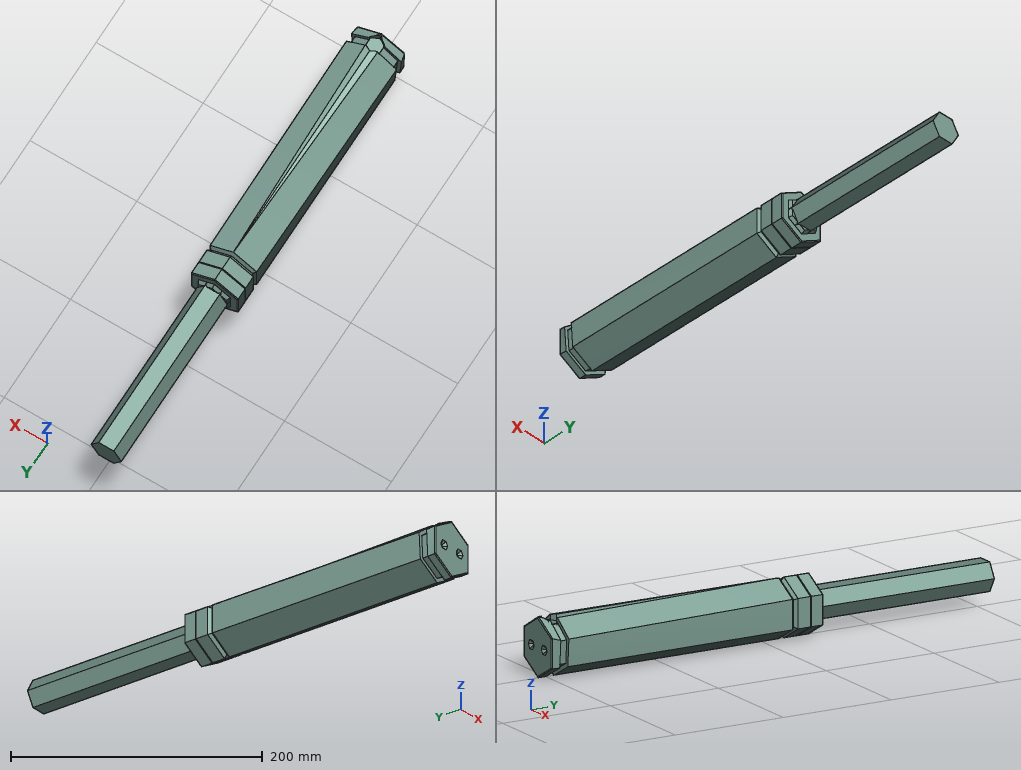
import cadquery as cq
import math

shaft_end_y = 207.5
collar_tip_y = 47.7
cap_rear_y = 44.5
ring_rear_y = 32.8
body_rear_y = 18.3
body_front_y = -192.5
flange_rear_y = -200.0
nose_end_y = -207.5

body_flats = 43.5
shaft_flats = 24.5
collar_base_flats = 30.0
collar_tip_flats = 26.5

end_chamfer = 1.0
joint_chamfer = 0.5
groove_chamfer = 2.5

ridge_z = 25.0
shoulder_x = 6.0
shoulder_z = 23.85
upper_side_x = 23.45
upper_side_z = 10.5
lower_side_x = 21.8
lower_side_z = -13.0
neck_inset = 3.5

button_flats = 13.3
button_y = -197.5
button_top_z = 19.5
button_bottom_z = 13.3

dimple_flats = 7.5
dimple_spacing = 20.0
dimple_depth = 3.7


def corner_radius(flats):
    return flats / math.sqrt(3)


def hexagon(flats, y, first_angle=90.0):
    """Corners of a regular hexagon in the plane at y, starting at first_angle from +X."""
    radius = corner_radius(flats)
    angles = [math.radians(first_angle + 60 * i) for i in range(6)]
    return [cq.Vector(radius * math.cos(a), y, radius * math.sin(a)) for a in angles]


def swollen_section(y):
    """Corners of the swollen section at y, in the same turning sense as hexagon()."""
    left = [
        (-shoulder_x, shoulder_z),
        (-upper_side_x, upper_side_z),
        (-lower_side_x, lower_side_z),
    ]
    bottom = [(0, -corner_radius(body_flats))]
    right = [(-x, z) for x, z in reversed(left)]
    return [cq.Vector(x, y, z) for x, z in [(0, ridge_z)] + left + bottom + right]


def skin(tapered, full):
    """Solid with straight rulings between two outlines.

    Corners repeated in the tapered outline give triangles; all corners at one point give a pyramid.
    """
    faces = []
    for outline in (tapered, full):
        corners = [p for i, p in enumerate(outline) if p != outline[i - 1]]
        if corners:
            faces.append(cq.Face.makeFromWires(cq.Wire.makePolygon(corners, close=True)))
    for i, corner in enumerate(tapered):
        full_edge = cq.Edge.makeLine(full[i - 1], full[i])
        if tapered[i - 1] == corner:
            triangle = cq.Wire.makePolygon([corner, full[i - 1], full[i]], close=True)
            faces.append(cq.Face.makeFromWires(triangle))
        else:
            tapered_edge = cq.Edge.makeLine(tapered[i - 1], corner)
            faces.append(cq.Face.makeRuledSurface(tapered_edge, full_edge))
    return cq.Workplane(cq.Solid.makeSolid(cq.Shell.makeShell(faces)).fix())


def fanned_hexagon(flats, y):
    """Hexagon with its top corner tripled, one for each corner around the swollen ridge."""
    top, *others = hexagon(flats, y)
    return [top, top] + others + [top]


def prism(outline, end_y):
    """Straight prism along Y from an outline to end_y."""
    wire = cq.Wire.makePolygon(outline, close=True)
    return cq.Workplane(cq.Solid.extrudeLinear(wire, [], cq.Vector(0, end_y - outline[0].y, 0)))


def button_prism(height):
    """Upright hexagonal prism standing on the floor of the button recess."""
    return (
        cq.Workplane("XY", origin=(0, button_y, button_bottom_z))
        .transformed(rotate=(0, 0, 90))
        .polygon(6, 2 * corner_radius(button_flats))
        .extrude(height)
    )


def make_button():
    return button_prism(button_top_z - button_bottom_z)


def button_recess():
    """Cutter for the recess that holds the button, open at the top."""
    return button_prism(body_flats)


def dimple(x):
    """Cutter for a six-sided pyramid dimple in the nose face."""
    rim = hexagon(dimple_flats, nose_end_y, first_angle=0)
    tip = cq.Vector(0, nose_end_y + dimple_depth, 0)
    return skin([tip] * len(rim), rim).translate((x, 0, 0))


def make_shaft():
    return prism(hexagon(shaft_flats, cap_rear_y, first_angle=0), shaft_end_y)


def make_collar(shaft):
    base = hexagon(collar_base_flats, cap_rear_y)
    tip = hexagon(collar_tip_flats, collar_tip_y)
    return skin(tip, base).cut(shaft)


def make_cap():
    cap = prism(hexagon(body_flats, cap_rear_y), ring_rear_y)
    return cap.faces(">Y").chamfer(end_chamfer).faces("<Y").chamfer(joint_chamfer)


def make_ring():
    ring = prism(hexagon(body_flats, ring_rear_y), body_rear_y)
    return ring.faces(">Y").chamfer(joint_chamfer).faces("<Y").chamfer(groove_chamfer)


def make_body():
    body = skin(fanned_hexagon(body_flats, body_rear_y), swollen_section(body_front_y))
    return body.faces(">Y").chamfer(groove_chamfer).cut(button_recess())


def make_nose():
    flange = skin(fanned_hexagon(body_flats, nose_end_y), swollen_section(flange_rear_y))
    flange = flange.faces("<Y").chamfer(end_chamfer)
    neck_outline = cq.Wire.makePolygon(swollen_section(body_front_y), close=True)
    neck_wire = neck_outline.offset2D(-neck_inset, "intersection")[0]
    neck_length = cq.Vector(0, flange_rear_y - body_front_y, 0)
    neck = cq.Solid.extrudeLinear(neck_wire, [], neck_length)
    nose = flange.union(cq.Workplane(neck)).cut(button_recess())
    for x in (-dimple_spacing / 2, dimple_spacing / 2):
        nose = nose.cut(dimple(x))
    return nose


shaft = make_shaft()
collar = make_collar(shaft)
cap = make_cap()
ring = make_ring()
body = make_body()
nose = make_nose()
button = make_button()

result = cq.Compound.makeCompound(
    [shaft.val(), collar.val(), cap.val(), ring.val(), body.val(), nose.val(), button.val()]
)